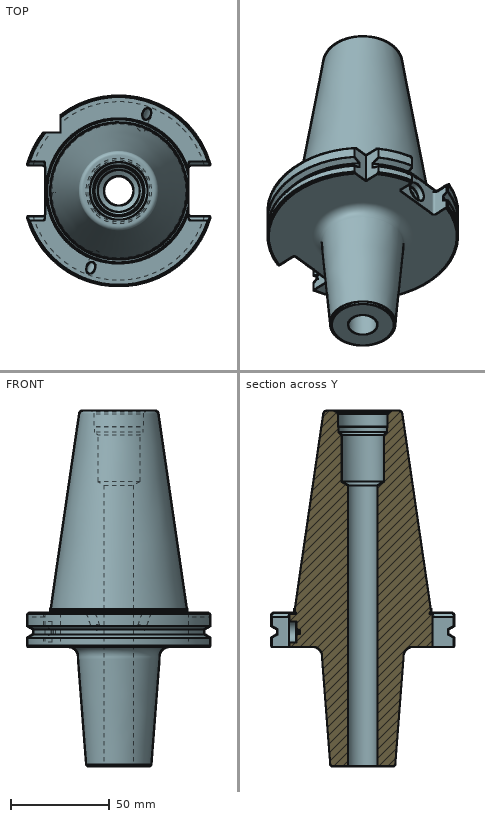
import cadquery as cq
import math


shank_length = 101.7
gauge_radius = 34.9
taper_ratio = 7 / 24
shank_top_radius = gauge_radius - shank_length * taper_ratio / 2
shank_top_fillet = 2.2
collar_radius = gauge_radius + 0.2
collar_top = 0.4
collar_bottom = -0.5

flange_radius = 48.7
flange_top = -1.5
flange_bottom = -19.0
flange_chamfer = 0.7
relief_outer_radius = 37.0
relief_depth = 0.5
relief_floor_radius = relief_outer_radius - relief_depth
relief_root_radius = 34.1

groove_center = -11.3
groove_floor_radius = 45.5
groove_floor_width = 2.5
groove_flank_angle = 30

nose_bottom = shank_length - 181.6
nose_neck_radius = 20.9
nose_neck_fillet = 4.7
nose_taper_top = -24.9
nose_tip_radius = 16.7
nose_tip_chamfer = 0.9

bore_radius = 7.5
thread_radius = 10.7
thread_end_depth = 36.3
drill_point_angle = 118
bore_steps = [
    (14.7, 0),
    (13.0, 0.9),
    (12.5, 1.8),
    (12.5, 8.4),
    (12.3, 8.5),
    (12.3, 11.0),
    (thread_radius, 12.5),
]

slot_width = 25.8
slot_floor_left = -37.6
slot_floor_right = 35.6
slot_corner_fillet = 1.0
slot_edge_chamfer = 2.2
slot_mouth_chamfer = 0.7

notch_offset = 29.8
chip_radius = 5.3
chip_depth = 3.6
chip_pilot_radius = 0.9
chip_pilot_depth = 1.8
chip_pilot_countersink = 0.7
coolant_circle_radius = 41.8
coolant_radius = 2.2
coolant_depth = 10.9
coolant_azimuths = (70, 250)
coolant_tilt = 45

overshoot = 9.0


def revolve_profile(profile):
    """Turn a closed radius/height profile about the Z axis."""
    return profile.close().revolve(360, (0, 0, 0), (0, 1, 0))


def make_body():
    """Solid of revolution: nose, flange and shank without the bore."""
    groove_depth = flange_radius - groove_floor_radius
    floor_half = groove_floor_width / 2
    mouth_half = floor_half + groove_depth * math.tan(math.radians(groove_flank_angle))
    collar_taper_radius = gauge_radius - collar_top * taper_ratio / 2
    rim_radius = flange_radius - flange_chamfer
    fillet_middle = nose_neck_fillet * (1 - math.sqrt(0.5))

    profile = (
        cq.Workplane("XZ")
        .moveTo(0, nose_bottom)
        .lineTo(nose_tip_radius - nose_tip_chamfer, nose_bottom)
        .lineTo(nose_tip_radius, nose_bottom + nose_tip_chamfer)
        .lineTo(nose_neck_radius, nose_taper_top)
        .lineTo(nose_neck_radius, flange_bottom - nose_neck_fillet)
        .threePointArc(
            (nose_neck_radius + fillet_middle, flange_bottom - fillet_middle),
            (nose_neck_radius + nose_neck_fillet, flange_bottom),
        )
        .lineTo(rim_radius, flange_bottom)
        .lineTo(flange_radius, flange_bottom + flange_chamfer)
        .lineTo(flange_radius, groove_center - mouth_half)
        .lineTo(groove_floor_radius, groove_center - floor_half)
        .lineTo(groove_floor_radius, groove_center + floor_half)
        .lineTo(flange_radius, groove_center + mouth_half)
        .lineTo(flange_radius, flange_top - flange_chamfer)
        .lineTo(rim_radius, flange_top)
        .lineTo(relief_outer_radius, flange_top)
        .lineTo(relief_floor_radius, flange_top - relief_depth)
        .lineTo(relief_root_radius, flange_top - relief_depth)
        .lineTo(collar_radius, collar_bottom)
        .lineTo(collar_radius, collar_top)
        .lineTo(collar_taper_radius, collar_top)
        .lineTo(shank_top_radius, shank_length)
        .lineTo(0, shank_length)
    )
    return revolve_profile(profile).faces(">Z").edges().fillet(shank_top_fillet)


def make_bore():
    """Through bore with the threaded counterbore at the shank end."""
    drill_point_height = (thread_radius - bore_radius) / math.tan(math.radians(drill_point_angle / 2))
    profile = cq.Workplane("XZ").moveTo(0, shank_length)
    for radius, depth in bore_steps:
        profile = profile.lineTo(radius, shank_length - depth)
    thread_end = shank_length - thread_end_depth
    profile = (
        profile.lineTo(thread_radius, thread_end)
        .lineTo(bore_radius, thread_end - drill_point_height)
        .lineTo(bore_radius, nose_bottom)
        .lineTo(0, nose_bottom)
    )
    return revolve_profile(profile)


def make_slot(floor_x):
    """Drive slot cutter, bevelled along the top edges, rounded at the floor and flared at the mouth."""
    side = math.copysign(1, floor_x)
    length = flange_radius + overshoot - abs(floor_x)
    half_width = slot_width / 2
    bevel_half_width = half_width + slot_edge_chamfer
    slot = (
        cq.Workplane("YZ", origin=(floor_x, 0, 0))
        .moveTo(-half_width, flange_bottom)
        .lineTo(half_width, flange_bottom)
        .lineTo(half_width, flange_top - slot_edge_chamfer)
        .lineTo(bevel_half_width, flange_top)
        .lineTo(-bevel_half_width, flange_top)
        .lineTo(-half_width, flange_top - slot_edge_chamfer)
        .close()
        .extrude(side * length)
        .faces("<X" if side > 0 else ">X")
        .edges("not |Y")
        .fillet(slot_corner_fillet)
    )
    mouth_start = math.sqrt(flange_radius**2 - half_width**2) - slot_mouth_chamfer
    flared_half_width = half_width + overshoot
    mouth = (
        cq.Workplane("XY", origin=(0, 0, flange_bottom))
        .moveTo(side * mouth_start, -half_width)
        .lineTo(side * mouth_start, half_width)
        .lineTo(side * (mouth_start + overshoot), flared_half_width)
        .lineTo(side * (mouth_start + overshoot), -flared_half_width)
        .close()
        .extrude(flange_top - flange_bottom)
    )
    return slot.union(mouth)


def make_notch():
    """Square orientation notch through the full flange height in the -X +Y quadrant."""
    return cq.Workplane("XY").box(
        flange_radius, flange_radius, flange_top - flange_bottom, centered=(True, True, False)
    ).translate((-notch_offset - flange_radius / 2, notch_offset + flange_radius / 2, flange_bottom))


def make_chip_pocket():
    """Round data chip pocket with a countersunk pilot hole in the floor of the -X slot."""
    floor_plane = cq.Workplane("YZ", origin=(slot_floor_left, 0, groove_center))
    pocket = floor_plane.circle(chip_radius).extrude(chip_depth)
    pilot = floor_plane.circle(chip_pilot_radius).extrude(chip_depth + chip_pilot_depth)
    countersink = cq.Solid.makeCone(
        chip_pilot_radius + chip_pilot_countersink,
        chip_pilot_radius,
        chip_pilot_countersink,
        cq.Vector(slot_floor_left + chip_depth, 0, groove_center),
        cq.Vector(1, 0, 0),
    )
    return pocket.union(pilot).union(cq.Workplane(countersink))


def make_coolant_hole(azimuth):
    """Blind coolant hole that slants from the flange top down towards the axis."""
    tilt = math.radians(coolant_tilt)
    direction = cq.Vector(-math.sin(tilt), 0, -math.cos(tilt))
    mouth = cq.Vector(coolant_circle_radius, 0, flange_top)
    start = mouth - direction * coolant_radius * 2
    hole = cq.Solid.makeCylinder(coolant_radius, coolant_depth + coolant_radius * 2, start, direction)
    return cq.Workplane(hole).rotate((0, 0, 0), (0, 0, 1), azimuth)


result = make_body().cut(make_bore())
for slot_floor in (slot_floor_left, slot_floor_right):
    result = result.cut(make_slot(slot_floor))
result = result.cut(make_notch()).cut(make_chip_pocket())
for coolant_azimuth in coolant_azimuths:
    result = result.cut(make_coolant_hole(coolant_azimuth))